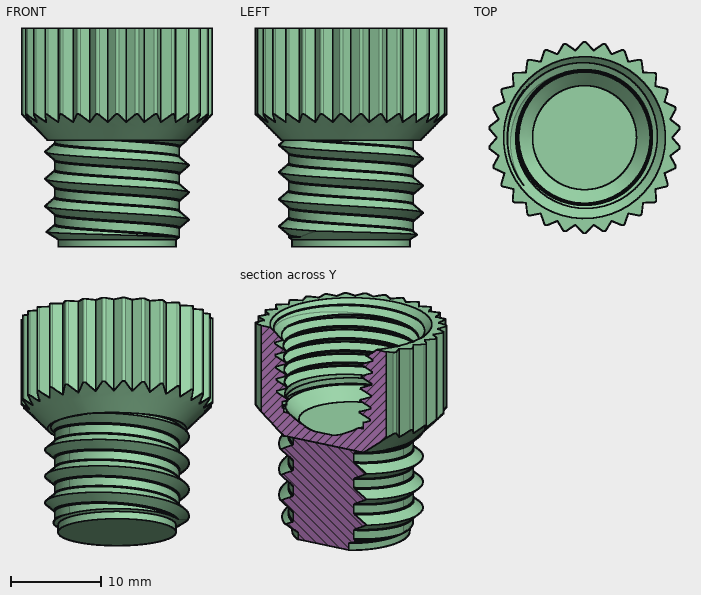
import cadquery as cq
import math

TOP_Z = 24.2
UNDERSIDE_Z = 11.79

TOOTH_COUNT = 30
TOOTH_TIP_R = 10.6
TOOTH_VALLEY_R = 9.7
TOOTH_ROUND_R = 0.3
UNDERSIDE_R = 7.67

MOUTH_R = 8.95
SOCKET_SHELF_Z = 14.62
RELIEF_R = 7.65
RELIEF_HEIGHT = 0.77
FLOOR_CONE_R = 7.25
FLOOR_R = 5.75

PIPE_PITCH = 1.41
PIPE_CREST_R = 7.57
PIPE_TAPER = math.degrees(math.atan(1 / 32))
PIPE_DEPTH = 1.0
PIPE_FLANK_ANGLE = 30.0
PIPE_ROOT_FLAT = 0.1
PIPE_EXIT_Z = 23.89
PIPE_EXIT_ANGLE = 226.0

STEM_R = 6.9
PILOT_R = 6.53
PILOT_HEIGHT = 0.82
LEAD_ANGLE = 33.0
STEM_PITCH = 3.0
STEM_THREAD_R = 7.99
STEM_FLANK_ANGLE = 40.5
STEM_CREST_Z = 9.03
ROOT_BLEND = 0.15

OVERLAP = 0.07


def revolve(points):
    """Solid of revolution about Z from an outline of (radius, z) points."""
    return cq.Workplane("XZ").polyline(points).close().revolve(360, (0, 0, 0), (0, 1, 0)).val()


def helical_solid(profile, pitch, turns, taper=360.0, left_handed=False):
    """Solid swept by a closed profile of (radius, z) points as it turns about Z, starting at +X.

    A taper of 360 degrees keeps the radius constant.
    """
    helices = [
        cq.Wire.makeHelix(pitch, turns * pitch, radius, cq.Vector(0, 0, z), angle=taper, lefthand=left_handed)
        for radius, z in profile
    ]
    sides = [
        cq.Face.makeRuledSurface(first, second)
        for first, second in zip(helices, helices[1:] + helices[:1])
    ]
    ends = []
    for position in (0, 1):
        corners = [helix.positionAt(position) for helix in helices]
        ends.append(cq.Face.makeFromWires(cq.Wire.makePolygon(corners, close=True)))
    return cq.Solid.makeSolid(cq.Shell.makeShell(sides + ends)).fix()


def knurled_blank():
    """Toothed cap with a 45 degree cone running down to its underside."""
    step = 2 * math.pi / TOOTH_COUNT
    centre_r = TOOTH_TIP_R - TOOTH_ROUND_R
    valley_along = TOOTH_VALLEY_R * math.cos(step / 2) - centre_r
    valley_aside = TOOTH_VALLEY_R * math.sin(step / 2)
    valley_distance = math.hypot(valley_along, valley_aside)
    tangent_angle = math.atan2(valley_aside, valley_along) - math.acos(TOOTH_ROUND_R / valley_distance)
    tangent_along = centre_r + TOOTH_ROUND_R * math.cos(tangent_angle)
    tangent_aside = TOOTH_ROUND_R * math.sin(tangent_angle)

    def turned(along, aside, angle):
        """Point of a tooth whose middle line lies at this angle."""
        cosine = math.cos(angle)
        sine = math.sin(angle)
        return (along * cosine - aside * sine, along * sine + aside * cosine)

    first_tooth = math.pi / 2
    outline = cq.Workplane("XY").moveTo(*turned(TOOTH_VALLEY_R, 0, first_tooth - step / 2))
    for tooth in range(TOOTH_COUNT):
        middle = first_tooth + tooth * step
        outline = outline.lineTo(*turned(tangent_along, -tangent_aside, middle))
        outline = outline.threePointArc(
            turned(TOOTH_TIP_R, 0, middle), turned(tangent_along, tangent_aside, middle)
        )
        if tooth < TOOTH_COUNT - 1:
            outline = outline.lineTo(*turned(TOOTH_VALLEY_R, 0, middle + step / 2))
    prism = outline.close().extrude(TOP_Z - UNDERSIDE_Z).translate((0, 0, UNDERSIDE_Z)).val()

    outer_r = TOOTH_TIP_R + OVERLAP
    envelope = revolve([
        (0, UNDERSIDE_Z),
        (UNDERSIDE_R, UNDERSIDE_Z),
        (outer_r, UNDERSIDE_Z + outer_r - UNDERSIDE_R),
        (outer_r, TOP_Z),
        (0, TOP_Z),
    ])
    return prism.intersect(envelope)


def pipe_crest_r(z):
    """Radius of the tapered thread crest at height z."""
    return PIPE_CREST_R - (TOP_Z - z) * math.tan(math.radians(PIPE_TAPER))


def socket():
    """Tapered bore with a relief below it, a shelf and a 45 degree floor cone."""
    floor_z = SOCKET_SHELF_Z - (FLOOR_CONE_R - FLOOR_R)
    relief_top_z = SOCKET_SHELF_Z + RELIEF_HEIGHT
    end_z = TOP_Z + PIPE_PITCH
    return revolve([
        (0, floor_z),
        (FLOOR_R, floor_z),
        (FLOOR_CONE_R, SOCKET_SHELF_Z),
        (RELIEF_R, SOCKET_SHELF_Z),
        (RELIEF_R, relief_top_z),
        (pipe_crest_r(relief_top_z), relief_top_z),
        (pipe_crest_r(end_z), end_z),
        (0, end_z),
    ])


def mouth():
    """45 degree cone that opens the socket at the top."""
    end_r = MOUTH_R + PIPE_PITCH
    return revolve([
        (0, TOP_Z - MOUTH_R),
        (end_r, TOP_Z + PIPE_PITCH),
        (0, TOP_Z + PIPE_PITCH),
    ])


def pipe_thread_groove():
    """Helical groove that leaves the tapered thread standing in the socket."""
    turns = math.ceil((TOP_Z - SOCKET_SHELF_Z) / PIPE_PITCH)
    start_z = PIPE_EXIT_Z - (turns - 1) * PIPE_PITCH
    start_r = pipe_crest_r(start_z)
    slope = math.tan(math.radians(PIPE_FLANK_ANGLE))
    root_half = PIPE_ROOT_FLAT / 2
    mouth_half = root_half + (PIPE_DEPTH + OVERLAP) * slope
    profile = [
        (start_r - OVERLAP, start_z - mouth_half),
        (start_r + PIPE_DEPTH, start_z - root_half),
        (start_r + PIPE_DEPTH, start_z + root_half),
        (start_r - OVERLAP, start_z + mouth_half),
    ]
    groove = helical_solid(profile, PIPE_PITCH, turns, taper=PIPE_TAPER)
    return groove.rotate(cq.Vector(0, 0, 0), cq.Vector(0, 0, 1), PIPE_EXIT_ANGLE)


def make_cap():
    """Knurled cap with its threaded socket."""
    return knurled_blank().cut(socket().fuse(pipe_thread_groove()).fuse(mouth()))


def stem_thread():
    """Sharp left-handed ridge with a small bevel where each flank meets the stem."""
    slope = math.tan(math.radians(STEM_FLANK_ANGLE))
    bevel_r = STEM_R + ROOT_BLEND / 2
    bevel_half = (STEM_THREAD_R - bevel_r) * slope
    root_half = bevel_half + ROOT_BLEND
    turns = math.ceil(UNDERSIDE_Z / STEM_PITCH) + 2
    start_z = STEM_CREST_Z - (turns - 2) * STEM_PITCH
    profile = [
        (STEM_R - OVERLAP, start_z - root_half),
        (STEM_R, start_z - root_half),
        (bevel_r, start_z - bevel_half),
        (STEM_THREAD_R, start_z),
        (bevel_r, start_z + bevel_half),
        (STEM_R, start_z + root_half),
        (STEM_R - OVERLAP, start_z + root_half),
    ]
    return helical_solid(profile, STEM_PITCH, turns, left_handed=True)


def make_stem():
    """Threaded stem with a plain pilot and a conical lead at its lower end."""
    outer_r = STEM_THREAD_R + OVERLAP
    lead_height = (outer_r - PILOT_R) * math.tan(math.radians(LEAD_ANGLE))
    envelope = revolve([
        (0, 0),
        (PILOT_R, 0),
        (PILOT_R, PILOT_HEIGHT),
        (outer_r, PILOT_HEIGHT + lead_height),
        (outer_r, UNDERSIDE_Z),
        (0, UNDERSIDE_Z),
    ])
    core = cq.Solid.makeCylinder(STEM_R, UNDERSIDE_Z)
    return core.fuse(stem_thread()).intersect(envelope)


cap = make_cap()
stem = make_stem()
result = cq.Compound.makeCompound([*cap.Solids(), *stem.Solids()])